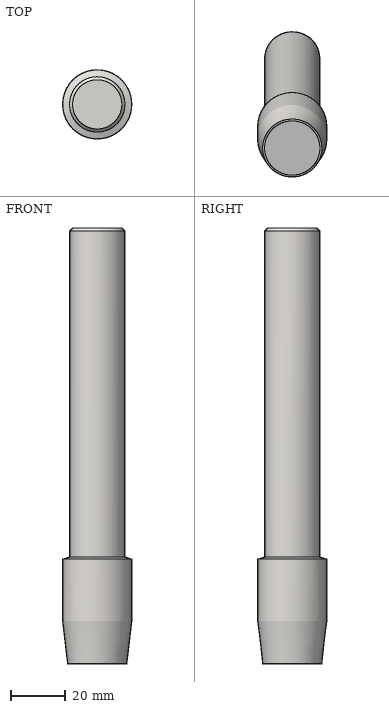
import cadquery as cq

total_length = 160.0

rod_diameter = 20.3
rod_radius = rod_diameter / 2
rod_chamfer = 1.1

sleeve_diameter = 25.5
sleeve_radius = sleeve_diameter / 2
foot_diameter = 21.8
foot_radius = foot_diameter / 2
taper_height = 15.7
sleeve_rim_height = 38.4
sleeve_height = 39.2


def make_rod():
    """Straight round rod, running the full length, with a chamfered top edge."""
    return (
        cq.Workplane("XY")
        .circle(rod_radius)
        .extrude(total_length)
        .faces(">Z")
        .edges()
        .chamfer(rod_chamfer)
    )


def make_sleeve():
    """Sleeve around the lower end of the rod, with a tapered foot and a sloping top face."""
    return (
        cq.Workplane("XZ")
        .moveTo(rod_radius, 0)
        .lineTo(foot_radius, 0)
        .lineTo(sleeve_radius, taper_height)
        .lineTo(sleeve_radius, sleeve_rim_height)
        .lineTo(rod_radius, sleeve_height)
        .close()
        .revolve(360, (0, 0, 0), (0, 1, 0))
    )


rod = make_rod()
sleeve = make_sleeve()

result = cq.Compound.makeCompound([rod.val(), sleeve.val()])